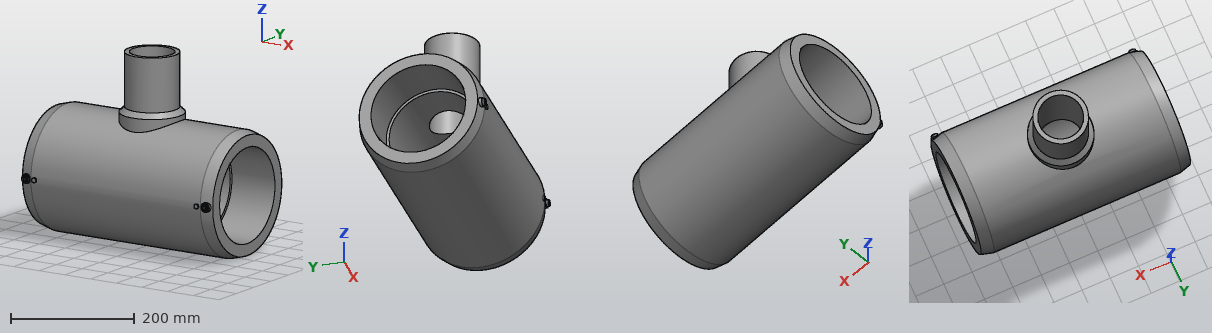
import cadquery as cq

length = 370.5
pipe_radius = 211.5 / 2
end_taper_length = 20.5
end_taper_depth = 5.5
socket_radius = 160.0 / 2
stop_bore_radius = 150.5 / 2
socket_depth = 83.7

branch_radius = 90.0 / 2
branch_bore_radius = 73.7 / 2
branch_top = 214.0
collar_radius = 108.0 / 2
collar_top = 123.0

terminal_inset = 10.7
terminal_base_radius = 16.0 / 2
terminal_base_face = 106.0
terminal_sleeve_radius = 12.0 / 2
terminal_face = 110.8
terminal_chamfer = 1.0
terminal_recess_radius = 8.0 / 2
terminal_recess_depth = 5.0
contact_pin_radius = 5.0 / 2
contact_pin_setback = 1.0
indicator_inset = 27.5
indicator_radius = 8.0 / 2
indicator_face = 108.2
root_distance = (pipe_radius + socket_radius) / 2


def side_cylinder(x, radius, start, end):
    """Cylinder pointing to -Y, between two distances from the pipe axis."""
    return cq.Workplane("XZ", origin=(x, -start, 0)).circle(radius).extrude(end - start)


def make_pipe_body():
    """Pipe blank with tapered ends."""
    half = length / 2
    shoulder = half - end_taper_length
    end_radius = pipe_radius - end_taper_depth
    profile = [
        (-half, 0),
        (-half, end_radius),
        (-shoulder, pipe_radius),
        (shoulder, pipe_radius),
        (half, end_radius),
        (half, 0),
    ]
    return cq.Workplane("XY").polyline(profile).close().revolve(360, (0, 0, 0), (1, 0, 0))


def make_branch():
    """Branch pipe with a collar whose 45 degree shoulder meets the pipe."""
    collar_shoulder = collar_radius - branch_radius
    collar = cq.Workplane("XY").circle(collar_radius).extrude(collar_top)
    collar = collar.faces(">Z").chamfer(collar_shoulder)
    return collar.union(cq.Workplane("XY").circle(branch_radius).extrude(branch_top))


def make_bores():
    """Stop bore, a socket at each end and the branch bore."""
    half = length / 2
    bores = cq.Workplane("YZ").circle(stop_bore_radius).extrude(half, both=True)
    for start in (-half, half - socket_depth):
        socket = cq.Workplane("YZ", origin=(start, 0, 0)).circle(socket_radius).extrude(socket_depth)
        bores = bores.union(socket)
    return bores.union(cq.Workplane("XY").circle(branch_bore_radius).extrude(branch_top))


def make_terminal(x):
    """Stepped terminal with a contact pin standing in its recess."""
    base = side_cylinder(x, terminal_base_radius, root_distance, terminal_base_face)
    sleeve = side_cylinder(x, terminal_sleeve_radius, root_distance, terminal_face)
    sleeve = sleeve.faces("<Y").chamfer(terminal_chamfer)
    recess_floor = terminal_face - terminal_recess_depth
    recess = side_cylinder(x, terminal_recess_radius, recess_floor, terminal_face)
    pin = side_cylinder(x, contact_pin_radius, root_distance, terminal_face - contact_pin_setback)
    return base.union(sleeve).cut(recess).union(pin)


def make_indicator(x):
    """Small fusion indicator pin beside a terminal."""
    return side_cylinder(x, indicator_radius, root_distance, indicator_face)


result = make_pipe_body().union(make_branch()).cut(make_bores())
for side in (-1, 1):
    terminal_x = side * (length / 2 - terminal_inset)
    result = result.union(make_terminal(terminal_x))
    result = result.union(make_indicator(side * (length / 2 - indicator_inset)))